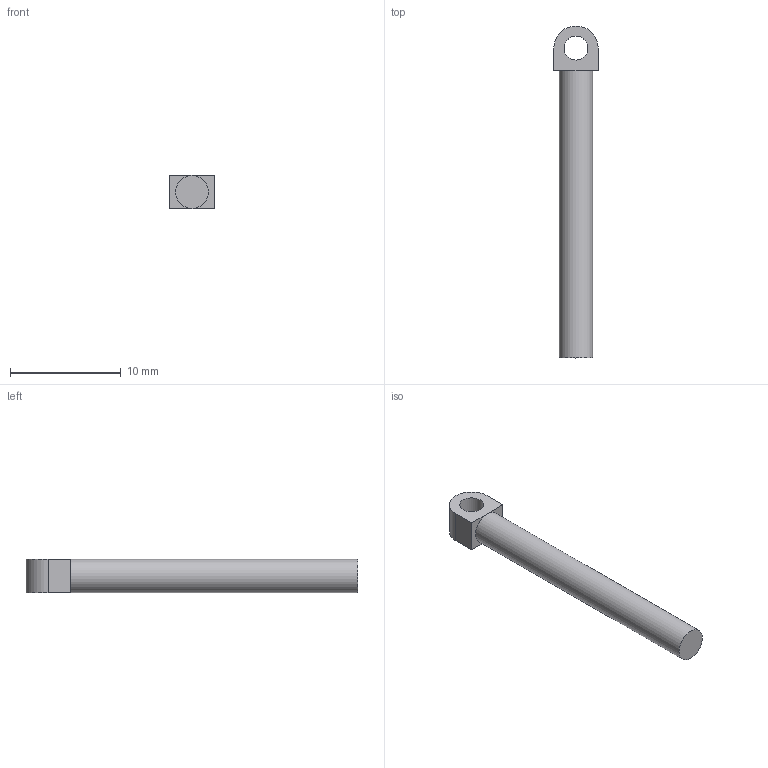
import cadquery as cq

overall_length = 30.0
rod_diameter = 3.0
eye_width = 4.0
eye_thickness = rod_diameter
eye_hole_diameter = 2.16
shoulder_to_hole = 2.0

eye_radius = eye_width / 2
rod_length = overall_length - eye_radius - shoulder_to_hole


def make_eye():
    """Flat eye: square shoulder, full-round end and a through hole."""
    return (
        cq.Workplane("XY")
        .moveTo(-eye_radius, -shoulder_to_hole)
        .lineTo(eye_radius, -shoulder_to_hole)
        .lineTo(eye_radius, 0)
        .threePointArc((0, eye_radius), (-eye_radius, 0))
        .close()
        .extrude(eye_thickness / 2, both=True)
        .faces(">Z")
        .workplane(origin=(0, 0, 0))
        .hole(eye_hole_diameter)
    )


def make_rod():
    """Plain round rod starting at the flat shoulder of the eye."""
    return (
        cq.Workplane("XZ", origin=(0, -shoulder_to_hole, 0))
        .circle(rod_diameter / 2)
        .extrude(rod_length)
    )


result = make_eye().union(make_rod())